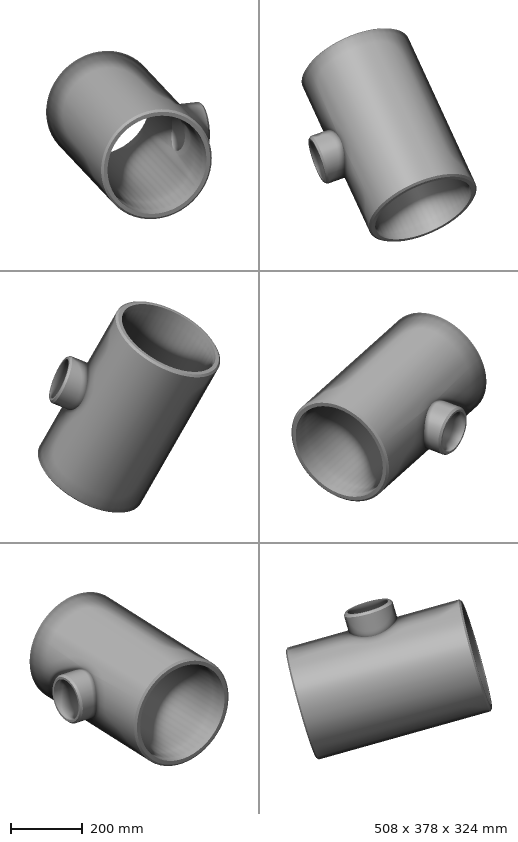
import cadquery as cq

run_length = 508.0
run_diameter = 324.0
run_bore = 289.5
run_bevel_length = 5.0
run_bevel_depth = 6.0

overall_depth = 378.0
branch_reach = overall_depth - run_diameter / 2
branch_diameter = 141.0
branch_bore = 118.0
branch_bevel_length = 6.0
branch_bevel_depth = 5.0


def beveled_run():
    """Solid main cylinder with a bevel on the outer edge of each end."""
    half_length = run_length / 2
    radius = run_diameter / 2
    end_radius = radius - run_bevel_depth
    return (
        cq.Workplane("XY")
        .moveTo(-half_length, 0)
        .lineTo(-half_length, end_radius)
        .lineTo(-half_length + run_bevel_length, radius)
        .lineTo(half_length - run_bevel_length, radius)
        .lineTo(half_length, end_radius)
        .lineTo(half_length, 0)
        .close()
        .revolve(360, (0, 0, 0), (1, 0, 0))
    )


def beveled_branch():
    """Solid branch from the main axis to its beveled open end."""
    radius = branch_diameter / 2
    return (
        cq.Workplane("XY")
        .lineTo(radius, 0)
        .lineTo(radius, branch_reach - branch_bevel_length)
        .lineTo(radius - branch_bevel_depth, branch_reach)
        .lineTo(0, branch_reach)
        .close()
        .revolve(360, (0, 0, 0), (0, 1, 0))
    )


run_passage = cq.Workplane("YZ").circle(run_bore / 2).extrude(run_length / 2, both=True)
branch_passage = cq.Workplane("XZ").circle(branch_bore / 2).extrude(-branch_reach)

result = beveled_run().union(beveled_branch()).cut(run_passage).cut(branch_passage)